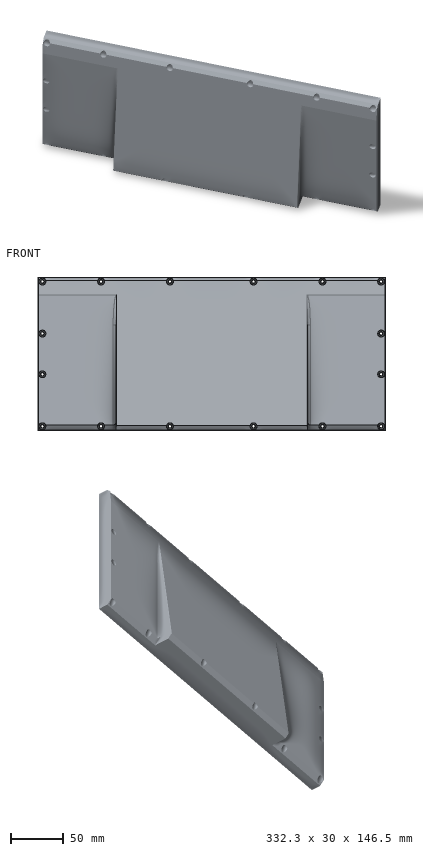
import cadquery as cq
import math

width = 332.27
height = 146.54
depth = 29.95
half_width = width / 2
half_height = height / 2

slope_angle = math.radians(7)
top_chamfer_leg = 3.0
bottom_chamfer_leg = 4.6

panel_thickness = 14.6
panel_bevel_depth = 4.6
wedge_half_width = 91.5
root_fillet = 3.0
wedge_edge_fillet = 0.5
wall_slab = 0.01

screw_radius = 1.6
counterbore_radius = 3.25
counterbore_floor = 4.0
hole_inset = 4.0
row_hole_offsets = (40.0, 106.0)
side_hole_offset = 19.5

bottom_corner = depth + bottom_chamfer_leg * math.sin(slope_angle)
top_corner = bottom_corner - height * math.tan(slope_angle)


def make_sloped_body():
    """Full-width prism with the sloped front face, chamfered along its top and bottom edges."""
    outline = [
        (0, -half_height),
        (0, half_height),
        (-(top_corner - top_chamfer_leg), half_height),
        (
            -(top_corner + top_chamfer_leg * math.sin(slope_angle)),
            half_height - top_chamfer_leg * math.cos(slope_angle),
        ),
        (-depth, -half_height + bottom_chamfer_leg * math.cos(slope_angle)),
        (-(bottom_corner - bottom_chamfer_leg), -half_height),
    ]
    return cq.Workplane("YZ").polyline(outline).close().extrude(half_width, both=True)


def cut_side_panels(body):
    """Cut the front face back to a flat panel on each side of the wedge."""
    panel_width = half_width - wedge_half_width
    centre_x = wedge_half_width + panel_width / 2
    cutter = (
        cq.Workplane("XZ", origin=(0, -panel_thickness, 0))
        .pushPoints([(-centre_x, 0), (centre_x, 0)])
        .rect(panel_width, height)
        .extrude(depth)
    )
    return body.cut(cutter)


def wall_edges(body, direction):
    """Edges lying in the side walls of the wedge that match a direction selector."""
    walls = [
        cq.selectors.BoxSelector(
            (side * wedge_half_width - wall_slab, -depth, -height),
            (side * wedge_half_width + wall_slab, 0, height),
        )
        for side in (-1, 1)
    ]
    return body.edges(direction).edges(walls[0] + walls[1])


def round_wedge(body):
    """Round the two long sloping edges of the wedge, then blend its side walls into the panels."""
    slope_direction = cq.Vector(0, -math.sin(slope_angle), -math.cos(slope_angle))
    sloping = cq.selectors.ParallelDirSelector(slope_direction)
    body = wall_edges(body, sloping).fillet(wedge_edge_fillet)
    return wall_edges(body, "|Z").fillet(root_fillet)


def bevel_panel_bottoms(body):
    """Bevel the bottom edge of each side panel, parallel to the bottom chamfer of the wedge."""
    bevel_angle = math.pi / 4 + slope_angle / 2
    bevel_start = panel_thickness - panel_bevel_depth
    outline = [
        (-bevel_start, -half_height),
        (-depth, -half_height),
        (-depth, -half_height + (depth - bevel_start) * math.tan(bevel_angle)),
    ]
    bevel = cq.Workplane("YZ").polyline(outline).close().extrude(half_width, both=True)
    wedge_span = cq.Workplane("XY").box(2 * wedge_half_width, 2 * depth, 2 * height)
    return body.cut(bevel.cut(wedge_span))


def hole_centres():
    """Centres (x, z) of the screw holes around the rim."""
    rim_x = half_width - hole_inset
    rim_z = half_height - hole_inset
    row_x = (*row_hole_offsets, rim_x)
    quadrant = [(x, rim_z) for x in row_x] + [(rim_x, side_hole_offset)]
    return [(sx * x, sz * z) for x, z in quadrant for sx in (-1, 1) for sz in (-1, 1)]


def hole_cylinders(radius, y_back):
    """Cylinders at every screw hole, running from y_back out through the front face."""
    plane = cq.Workplane("XZ", origin=(0, y_back, 0))
    return plane.pushPoints(hole_centres()).circle(radius).extrude(2 * depth)


result = make_sloped_body()
result = cut_side_panels(result)
result = round_wedge(result)
result = bevel_panel_bottoms(result)
result = result.cut(hole_cylinders(screw_radius, depth / 2))
result = result.cut(hole_cylinders(counterbore_radius, -counterbore_floor))